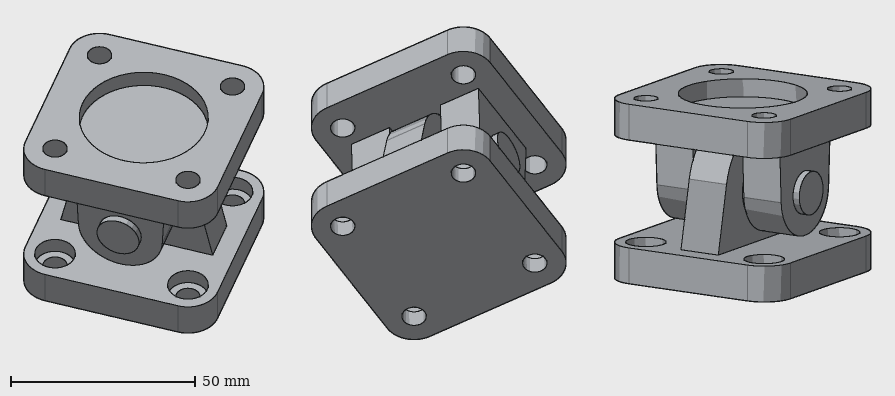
import cadquery as cq
import math

PLATE_SIDE = 55.0
PLATE_THICKNESS = 10.0
PLATE_GAP = 30.0
HOLE_SPACING = 38.0
CORNER_RADIUS = (PLATE_SIDE - HOLE_SPACING) / 2
BOLT_HOLE_DIAMETER = 6.6
COUNTERBORE_DIAMETER = 11.0
COUNTERBORE_DEPTH = 4.5
RECESS_DIAMETER = 35.0
RECESS_DEPTH = 5.0

CLEVIS_PLATE_BOTTOM = PLATE_THICKNESS + PLATE_GAP
TOTAL_HEIGHT = CLEVIS_PLATE_BOTTOM + PLATE_THICKNESS
PIVOT_HEIGHT = TOTAL_HEIGHT / 2

EYE_WIDTH = 12.0
EYE_RADIUS = 18.0
EYE_ROOT_HALF_LENGTH = 21.7

EAR_WIDTH = 12.0
EAR_RADIUS = 12.0
EAR_ROOT_HALF_LENGTH = 12.7
EAR_GAP = 16.0
EAR_OFFSET = (EAR_GAP + EAR_WIDTH) / 2

PIN_DIAMETER = 12.0
PIN_LENGTH = 44.0
BALL_RADIUS = 11.3


def cylinder_along_y(diameter, length):
    """Cylinder on the pivot axis, centred on Y = 0."""
    return (
        cq.Workplane("XZ")
        .center(0, PIVOT_HEIGHT)
        .circle(diameter / 2)
        .extrude(length / 2, both=True)
    )


def flange_plate(bottom):
    """Rounded square plate with its underside at the given height."""
    return (
        cq.Workplane("XY")
        .workplane(offset=bottom)
        .rect(PLATE_SIDE, PLATE_SIDE)
        .extrude(PLATE_THICKNESS)
        .edges("|Z")
        .fillet(CORNER_RADIUS)
    )


def bolt_pattern(plate):
    """Put the four bolt hole centres on the top face of a plate."""
    return (
        plate.faces(">Z")
        .workplane(origin=(0, 0, 0))
        .rect(HOLE_SPACING, HOLE_SPACING, forConstruction=True)
        .vertices()
    )


def tapered_lug(root_half_length, root_height, radius, width, y_centre):
    """Lug whose straight flanks run from its root tangent to a round end about the pivot."""
    rise = root_height - PIVOT_HEIGHT
    toward_root = math.copysign(1, rise)
    root_distance = math.hypot(root_half_length, rise)
    tangent_angle = math.atan2(abs(rise), root_half_length) - math.acos(radius / root_distance)
    tangent_x = radius * math.cos(tangent_angle)
    tangent_z = PIVOT_HEIGHT + toward_root * radius * math.sin(tangent_angle)
    tip_z = PIVOT_HEIGHT - toward_root * radius
    return (
        cq.Workplane("XZ")
        .moveTo(-root_half_length, root_height)
        .lineTo(-tangent_x, tangent_z)
        .threePointArc((0, tip_z), (tangent_x, tangent_z))
        .lineTo(root_half_length, root_height)
        .close()
        .extrude(width / 2, both=True)
        .translate((0, y_centre, 0))
    )


def make_pin():
    """Pin with a ball in the middle, cut flat where it meets the ears."""
    shaft = cylinder_along_y(PIN_DIAMETER, PIN_LENGTH)
    ball = cq.Workplane("XY").sphere(BALL_RADIUS).translate((0, 0, PIVOT_HEIGHT))
    ball = ball.intersect(cylinder_along_y(2 * BALL_RADIUS, EAR_GAP))
    return shaft.union(ball)


def make_base(pin):
    """Lower plate with counterbored holes and an eye that seats the ball."""
    plate = bolt_pattern(flange_plate(0)).cboreHole(
        BOLT_HOLE_DIAMETER, COUNTERBORE_DIAMETER, COUNTERBORE_DEPTH
    )
    eye = tapered_lug(EYE_ROOT_HALF_LENGTH, PLATE_THICKNESS, EYE_RADIUS, EYE_WIDTH, 0)
    return plate.union(eye).cut(pin)


def make_clevis():
    """Upper plate with a round recess on top and two bored ears below."""
    plate = bolt_pattern(flange_plate(CLEVIS_PLATE_BOTTOM)).hole(BOLT_HOLE_DIAMETER)
    clevis = plate.faces(">Z").workplane(origin=(0, 0, 0)).hole(RECESS_DIAMETER, RECESS_DEPTH)
    for side in (-1, 1):
        ear = tapered_lug(
            EAR_ROOT_HALF_LENGTH, CLEVIS_PLATE_BOTTOM, EAR_RADIUS, EAR_WIDTH, side * EAR_OFFSET
        )
        clevis = clevis.union(ear)
    clevis = clevis.cut(cylinder_along_y(PIN_DIAMETER, PIN_LENGTH))
    return clevis.cut(cylinder_along_y(2 * EYE_RADIUS, EYE_WIDTH))


pin = make_pin()
base = make_base(pin)
clevis = make_clevis()

result = cq.Compound.makeCompound([base.solids().val(), clevis.solids().val(), pin.solids().val()])